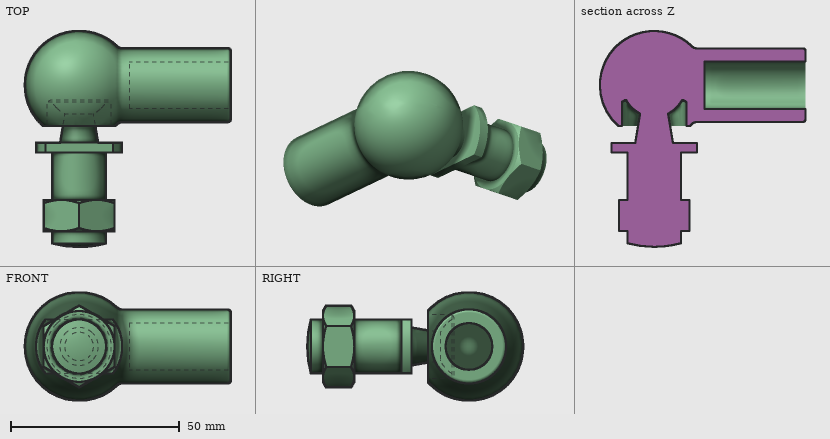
import cadquery as cq
import math

HEAD_RADIUS = 16.15
ARM_RADIUS = 22 / 2
ARM_LENGTH = 45.0
ARM_END_ROUND = 1.0
ARM_ROOT_ROUND = 2.0
THREAD_BORE_RADIUS = 13.84 / 2
THREAD_BORE_DEPTH = 30.0

MOUTH_RADIUS = 19 / 2
MOUTH_DISTANCE = 12.15
SEAT_DISTANCE = 5.0
SEAT_SLOPE_ANGLE = 30.0

BALL_RADIUS = 19 / 2
NECK_END_RADIUS = 5.65
NECK_TAPER = 1 / 6
COLLAR_START = 17.0
COLLAR_THICKNESS = 3.0
COLLAR_RADIUS = 25.6 / 2
COLLAR_ACROSS_FLATS = 16.0
SHANK_RADIUS = 16 / 2
STUD_LENGTH = 48.0
DOME_HEIGHT = 1.1

NUT_START = 34.0
NUT_HEIGHT = 9.3
NUT_SIDES = 6
NUT_ACROSS_FLATS = 21.0
NUT_CHAMFER_ANGLE = 30.0


def stud_plane(distance):
    """Plane across the stud axis, with its normal along -Y."""
    return cq.Workplane("XZ", origin=(0, -distance, 0))


def make_socket_profile():
    """Half section of head and arm, to be turned about the X axis."""
    round_centre_y = ARM_RADIUS + ARM_ROOT_ROUND
    centre_distance = HEAD_RADIUS + ARM_ROOT_ROUND
    round_centre_x = math.sqrt(centre_distance**2 - round_centre_y**2)
    tangent_share = HEAD_RADIUS / centre_distance
    tangent_point = (round_centre_x * tangent_share, round_centre_y * tangent_share)

    root_angle = math.atan2(round_centre_y, round_centre_x)
    head_mid_angle = (math.pi + root_angle) / 2
    head_mid = (HEAD_RADIUS * math.cos(head_mid_angle), HEAD_RADIUS * math.sin(head_mid_angle))
    root_mid_angle = (root_angle + math.pi / 2) / 2
    root_mid = (
        round_centre_x - ARM_ROOT_ROUND * math.cos(root_mid_angle),
        round_centre_y - ARM_ROOT_ROUND * math.sin(root_mid_angle),
    )
    return (
        cq.Workplane("XY")
        .moveTo(-HEAD_RADIUS, 0)
        .threePointArc(head_mid, tangent_point)
        .threePointArc(root_mid, (round_centre_x, ARM_RADIUS))
        .lineTo(ARM_LENGTH, ARM_RADIUS)
        .lineTo(ARM_LENGTH, 0)
        .close()
    )


def make_socket():
    """Head and arm with the socket mouth faced flat, the conical ball seat and the blind arm bore."""
    socket = make_socket_profile().revolve(360, (0, 0, 0), (1, 0, 0))
    socket = socket.faces(">X").edges().fillet(ARM_END_ROUND)
    seat_tip = MOUTH_RADIUS * math.tan(math.radians(SEAT_SLOPE_ANGLE)) - SEAT_DISTANCE
    beyond_mouth = stud_plane(MOUTH_DISTANCE).circle(HEAD_RADIUS).extrude(HEAD_RADIUS)
    mouth_bore = (
        cq.Workplane("XY")
        .moveTo(0, seat_tip)
        .lineTo(MOUTH_RADIUS, -SEAT_DISTANCE)
        .lineTo(MOUTH_RADIUS, -MOUTH_DISTANCE)
        .lineTo(0, -MOUTH_DISTANCE)
        .close()
        .revolve(360, (0, 0, 0), (0, 1, 0))
    )
    arm_end = cq.Workplane("YZ", origin=(ARM_LENGTH, 0, 0))
    arm_bore = arm_end.circle(THREAD_BORE_RADIUS).extrude(-THREAD_BORE_DEPTH)
    return socket.cut(beyond_mouth).cut(mouth_bore).cut(arm_bore)


def make_stud():
    """Ball, tapered neck, collar with two flats and a shank with a domed end."""
    ball = cq.Workplane("XY").sphere(BALL_RADIUS)
    neck_start_radius = NECK_END_RADIUS - COLLAR_START * NECK_TAPER
    shank_end = STUD_LENGTH - DOME_HEIGHT
    dome_radius = (SHANK_RADIUS**2 + DOME_HEIGHT**2) / (2 * DOME_HEIGHT)
    dome_mid_radius = SHANK_RADIUS / 2
    dome_mid = STUD_LENGTH - dome_radius + math.sqrt(dome_radius**2 - dome_mid_radius**2)
    turned = (
        cq.Workplane("XY")
        .lineTo(neck_start_radius, 0)
        .lineTo(NECK_END_RADIUS, -COLLAR_START)
        .lineTo(SHANK_RADIUS, -COLLAR_START)
        .lineTo(SHANK_RADIUS, -shank_end)
        .threePointArc((dome_mid_radius, -dome_mid), (0, -STUD_LENGTH))
        .close()
        .revolve(360, (0, 0, 0), (0, 1, 0))
    )
    flats = stud_plane(COLLAR_START).rect(2 * COLLAR_RADIUS, COLLAR_ACROSS_FLATS).extrude(COLLAR_THICKNESS)
    collar = stud_plane(COLLAR_START).circle(COLLAR_RADIUS).extrude(COLLAR_THICKNESS).intersect(flats)
    return ball.union(turned).union(collar)


def make_nut():
    """Hexagon nut with corners along Z, chamfered at both ends."""
    corner_radius = NUT_ACROSS_FLATS / 2 / math.cos(math.pi / NUT_SIDES)
    face_radius = NUT_ACROSS_FLATS / 2
    chamfer_height = (corner_radius - face_radius) * math.tan(math.radians(NUT_CHAMFER_ANGLE))
    hexagon = (
        stud_plane(NUT_START)
        .transformed(rotate=(0, 0, 90))
        .polygon(NUT_SIDES, 2 * corner_radius)
        .extrude(NUT_HEIGHT)
    )
    nut_end = NUT_START + NUT_HEIGHT
    chamfer_envelope = (
        cq.Workplane("XY")
        .moveTo(0, -NUT_START)
        .lineTo(face_radius, -NUT_START)
        .lineTo(corner_radius, -NUT_START - chamfer_height)
        .lineTo(corner_radius, -nut_end + chamfer_height)
        .lineTo(face_radius, -nut_end)
        .lineTo(0, -nut_end)
        .close()
        .revolve(360, (0, 0, 0), (0, 1, 0))
    )
    return hexagon.intersect(chamfer_envelope)


result = make_socket().union(make_stud()).union(make_nut())